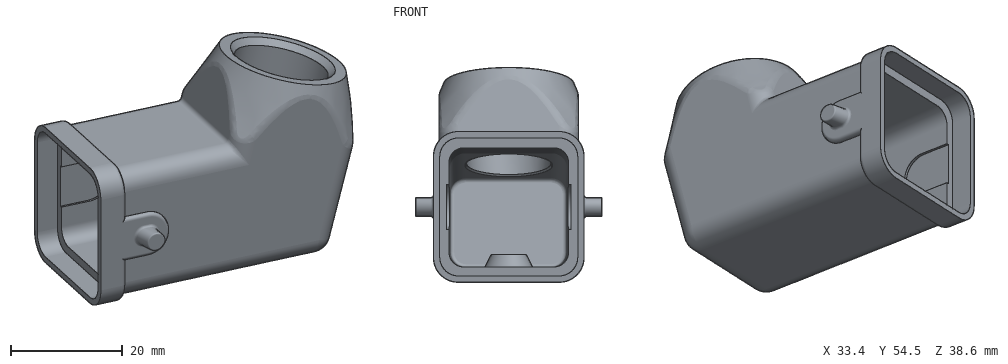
import cadquery as cq
import math


BEYOND = 109.05
NEAR = 0.05

body_size = 25.1
body_corner = 3.5
body_reach = 54.55
flange_size = 27.05
flange_length = 5.1
flange_edge_round = 0.9
middle_z = flange_size / 2
body_bottom = middle_z - body_size / 2
body_top = middle_z + body_size / 2
flange_corner = body_corner + (flange_size - body_size) / 2

cavity_size = 21.55
cavity_corner = 2.7
cavity_back_round = 0.65
cavity_side_draft = 0.5
cavity_roof_draft = 2.2
cavity_bottom = middle_z - cavity_size / 2
cavity_top = middle_z + cavity_size / 2
mouth_size = 24.75
mouth_corner = 3.4
mouth_depth = 4.05

lean = 15.0
rim_y = 42.95
overall_height = 38.55
neck_half = body_size / 2
rim_radius = 11.7
cone_angle = 21.5
cone_length = 43.6
cone_blend = 2.2
neck_root_round = 0.9
back_wall = 2.85
SIN = math.sin(math.radians(lean))
COS = math.cos(math.radians(lean))
rim_z = overall_height - rim_radius * SIN

entry_diameter = 17.3
entry_chamfer = 1.05
entry_chamfer_depth = 1.2
entry_depth = 10.5
bore_diameter = 15.1
bore_flare = 0.3
ceiling_depth = 15.05

pin_y = 9.6
pin_span = 33.4
pin_radius = 1.7
pin_tip_flat = 0.05
pin_tip_round = 0.2
pin_root_round = 0.45
wedge_reach = 0.9
lug_radius = 4.2
lug_edge_round = 0.65
relief_radius = 4.05
relief_depth = 0.4

ridge_nose_y = 14.9
ridge_radius = 4.25
ridge_height = 2.25
ridge_taper = 26.0
ridge_round = 0.4
ridge_root_round = 0.3
ridge_slab = 0.55


def neck_point(across, along):
    """Y and Z of a point given by its offsets across and along the neck axis from the rim centre."""
    return (rim_y + across * COS + along * SIN, rim_z - across * SIN + along * COS)


def neck_line_y(across, z):
    """Y where the line parallel to the neck axis at this offset reaches height z."""
    return rim_y + across / COS + (z - rim_z) * SIN / COS


def side_extrusion(points, width):
    """Solid with a YZ outline, centred on X = 0."""
    return cq.Workplane("YZ").polyline(points).close().extrude(width / 2, both=True)


def square_bar(size, corner, start, end):
    """Square bar along Y with rounded long edges."""
    bar = cq.Workplane("XY").box(size, end - start, size).edges("|Y").fillet(corner)
    return bar.translate((0, (start + end) / 2, middle_z))


def neck_plane():
    return cq.Workplane(cq.Plane(origin=(0, rim_y, rim_z), xDir=(1, 0, 0), normal=(0, SIN, COS)))


def neck():
    front_base = (neck_line_y(-neck_half, body_bottom), body_bottom)
    back_base = (neck_line_y(neck_half, body_bottom), body_bottom)
    outline = [front_base, back_base, neck_point(neck_half, 0), neck_point(-neck_half, 0)]
    block = side_extrusion(outline, body_size)
    leaning = cq.selectors.ParallelDirSelector(cq.Vector(0, SIN, COS))
    heel = block.edges(cq.selectors.NearestToPointSelector((0, *back_base)))
    sharp = block.edges(leaning).add(block.edges("|Y")).add(heel)
    block = sharp.fillet(body_corner)
    base_radius = rim_radius + cone_length * math.tan(math.radians(cone_angle))
    cone = neck_plane().circle(rim_radius).workplane(offset=-cone_length).circle(base_radius).loft()
    trimmed = block.intersect(cone)
    above_tube = cq.selectors.BoxSelector((-BEYOND, 0, body_top), (BEYOND, BEYOND, BEYOND))
    arches = trimmed.edges("%HYPERBOLA").edges(above_tube)
    return arches.fillet(cone_blend)


def outer_body():
    tube_end = neck_line_y(0, middle_z)
    body = square_bar(body_size, body_corner, 0, tube_end).union(neck())
    root_point = (0, neck_line_y(-neck_half, body_top), body_top)
    return body.edges(cq.selectors.NearestToPointSelector(root_point)).fillet(neck_root_round)


def flange():
    bar = square_bar(flange_size, flange_corner, 0, flange_length)
    return bar.faces(">Y").edges().fillet(flange_edge_round)


def side_slot(radius, inner_x, outer_x, start_y):
    """Tongue lying in a side plane: rounded around the pin centre, running back to start_y."""
    length = pin_y - start_y
    profile = (
        cq.Workplane(cq.Plane(origin=(inner_x, pin_y, middle_z), xDir=(0, 1, 0), normal=(1, 0, 0)))
        .moveTo(-length, -radius)
        .lineTo(0, -radius)
        .threePointArc((radius, 0), (0, radius))
        .lineTo(-length, radius)
        .close()
    )
    return profile.extrude(outer_x - inner_x)


def lug():
    tongue = side_slot(lug_radius, cavity_size / 2 + relief_depth, flange_size / 2, 0)
    rim = tongue.faces(">X").edges(cq.selectors.BoxSelector((0, NEAR, 0), (BEYOND, BEYOND, BEYOND)))
    return rim.fillet(lug_edge_round)


def pin():
    """Round pin whose root widens into a wedge on the mouth side."""
    face_x = flange_size / 2
    side = cq.Workplane(cq.Plane(origin=(face_x, pin_y, middle_z), xDir=(0, 1, 0), normal=(1, 0, 0)))
    height = pin_span / 2 - face_x
    root = side.center(-wedge_reach / 2, 0).slot2D(2 * pin_radius + wedge_reach, 2 * pin_radius)
    tip = root.workplane(offset=height).center(wedge_reach / 2, 0)
    taper = tip.slot2D(2 * pin_radius + pin_tip_flat, 2 * pin_radius).loft(ruled=True)
    return taper.faces(">X").edges().fillet(pin_tip_round)


def ridge_foot():
    """Selects the edges where the ridge meets the cavity floor."""
    return cq.selectors.BoxSelector(
        (-ridge_radius - NEAR, ridge_nose_y - ridge_radius, cavity_bottom - NEAR),
        (ridge_radius + NEAR, rim_y, cavity_bottom + NEAR),
    )


def floor_ridge():
    """Tapered ridge with a round nose, running along the floor into the back wall."""
    back = neck_line_y(neck_half - back_wall / 2, cavity_bottom)
    ridge = (
        cq.Workplane("XY", origin=(0, ridge_nose_y, cavity_bottom))
        .moveTo(ridge_radius, back - ridge_nose_y)
        .lineTo(ridge_radius, 0)
        .threePointArc((0, -ridge_radius), (-ridge_radius, 0))
        .lineTo(-ridge_radius, back - ridge_nose_y)
        .close()
        .extrude(ridge_height, taper=ridge_taper)
    )
    rim = ridge.faces(">Z").edges("not >Y")
    ridge = rim.fillet(ridge_round)
    slab_width = 2 * (ridge_radius + 2 * ridge_root_round)
    slab_front = ridge_nose_y - slab_width / 2
    slab = cq.Workplane("XY").box(slab_width, back - slab_front, ridge_slab, centered=(True, False, False))
    slab = slab.translate((0, slab_front, cavity_bottom - ridge_slab))
    return ridge.union(slab).edges(ridge_foot()).fillet(ridge_root_round)


def cavity():
    """Drafted room with a flat floor, a leaning ceiling under the neck and a leaning back wall."""
    back_offset = neck_half - back_wall
    floor_end = neck_line_y(back_offset, cavity_bottom)
    ceiling_back = neck_point(back_offset, -ceiling_depth)
    roof_fall = math.tan(math.radians(cavity_roof_draft))
    roof_end = (ceiling_back[1] + ceiling_back[0] * SIN / COS - cavity_top) / (SIN / COS - roof_fall)
    outline = [
        (0, cavity_bottom),
        (floor_end, cavity_bottom),
        ceiling_back,
        (roof_end, cavity_top - roof_end * roof_fall),
        (0, cavity_top),
    ]
    half_mouth = cavity_size / 2
    half_back = half_mouth - body_reach * math.tan(math.radians(cavity_side_draft))
    plan = [(-half_mouth, 0), (half_mouth, 0), (half_back, body_reach), (-half_back, body_reach)]
    drafted = cq.Workplane("XY").polyline(plan).close().extrude(body_top)
    room = side_extrusion(outline, cavity_size).intersect(drafted)
    between_ends = cq.selectors.BoxSelector((-BEYOND, NEAR, 0), (BEYOND, floor_end - NEAR, BEYOND))
    room = room.edges("not |X").edges(between_ends).fillet(cavity_corner)
    back_face = cq.selectors.DirectionNthSelector(cq.Vector(0, COS, -SIN), -1)
    return room.faces(back_face).edges().fillet(cavity_back_round)


def cable_entry():
    """Chamfered entry and narrower bore down to the cavity ceiling, leaning with the neck."""
    mouth_radius = entry_diameter / 2 + entry_chamfer
    profile = [
        (0, 0),
        (mouth_radius, 0),
        (entry_diameter / 2, -entry_chamfer_depth),
        (entry_diameter / 2, -entry_depth),
        (bore_diameter / 2, -entry_depth),
        (bore_diameter / 2, -ceiling_depth + bore_flare),
        (bore_diameter / 2 + bore_flare, -ceiling_depth),
        (0, -ceiling_depth),
    ]
    axis_plane = cq.Plane(origin=(0, rim_y, rim_z), xDir=(1, 0, 0), normal=(0, -COS, SIN))
    return cq.Workplane(axis_plane).polyline(profile).close().revolve(360, (0, 0), (0, 1))


def both_sides(feature):
    return feature.union(feature.mirror("YZ"))


def pin_feet(side):
    """Selects the edges where the pin on one side meets its lug."""
    reach = pin_radius + wedge_reach
    face_x = side * flange_size / 2
    return cq.selectors.BoxSelector(
        (face_x - NEAR, pin_y - reach, middle_z - pin_radius),
        (face_x + NEAR, pin_y + reach, middle_z + pin_radius),
    )


hood = outer_body().union(flange()).union(both_sides(lug())).union(both_sides(pin()))
for side in (-1, 1):
    hood = hood.edges(pin_feet(side)).fillet(pin_root_round)

hood = hood.cut(cavity()).cut(square_bar(mouth_size, mouth_corner, 0, mouth_depth))
hood = hood.cut(cable_entry())
relief = side_slot(relief_radius, 0, cavity_size / 2 + relief_depth, mouth_depth)
hood = hood.cut(both_sides(relief))

result = hood.union(floor_ridge())